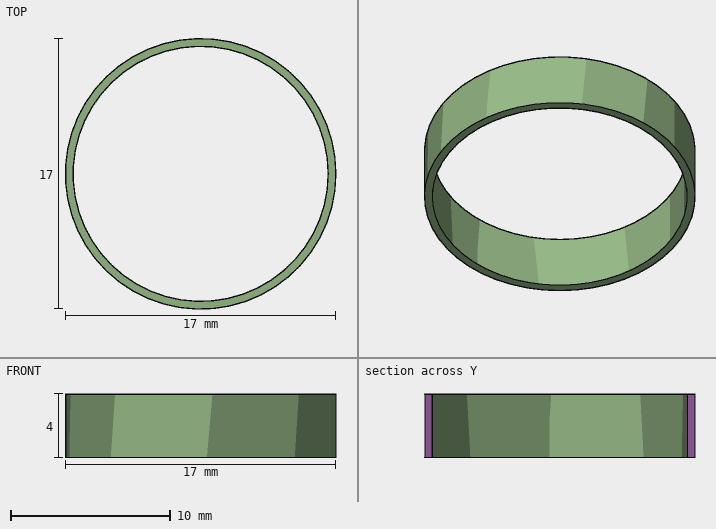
import cadquery as cq

outer_diameter = 17.0
wall_thickness = 0.5
height = 4.0

inner_diameter = outer_diameter - 2 * wall_thickness

result = (
    cq.Workplane("XY")
    .circle(outer_diameter / 2)
    .circle(inner_diameter / 2)
    .extrude(height)
)